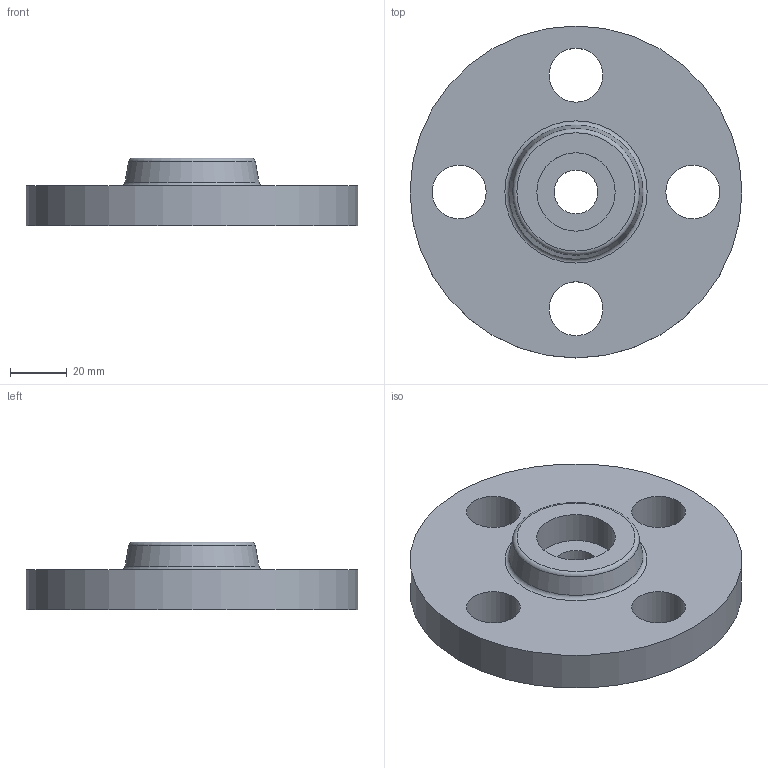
import cadquery as cq
import math

flange_diameter = 117.32
flange_thickness = 14.22
total_height = 23.88

bolt_circle_diameter = 82.55
bolt_hole_diameter = 19.05
bolt_hole_count = 4

hub_base_diameter = 47.75
hub_draft_degrees = 10.0
hub_root_fillet = 1.5
hub_top_fillet = 1.5

socket_diameter = 27.7
socket_depth = 11.2
bore_diameter = 15.5

hub_height = total_height - flange_thickness
hub_top_diameter = hub_base_diameter - 2 * hub_height * math.tan(math.radians(hub_draft_degrees))


def make_body():
    """Revolve the solid disc and its tapered hub, with no holes."""
    profile = (
        cq.Workplane("XZ")
        .lineTo(flange_diameter / 2, 0)
        .lineTo(flange_diameter / 2, flange_thickness)
        .lineTo(hub_base_diameter / 2, flange_thickness)
        .lineTo(hub_top_diameter / 2, total_height)
        .lineTo(0, total_height)
        .close()
    )
    return profile.revolve(360, (0, 0, 0), (0, 1, 0))


def round_hub(body):
    """Round the hub's top rim and blend its root into the flange."""
    smallest_circle = cq.selectors.RadiusNthSelector(0)
    body = body.faces(">Z").edges().fillet(hub_top_fillet)
    flange_top = body.faces("|Z").faces("<Z[1]")
    return flange_top.edges(smallest_circle).fillet(hub_root_fillet)


def cut_bore(body):
    """Cut the through bore and the wider socket above it."""
    top = body.faces(">Z").workplane(origin=(0, 0, 0))
    return top.cboreHole(bore_diameter, socket_diameter, socket_depth)


def cut_bolt_holes(body):
    """Drill the ring of through holes, the first on the +X axis."""
    holes = (
        cq.Workplane("XY")
        .polarArray(bolt_circle_diameter / 2, 0, 360, bolt_hole_count)
        .circle(bolt_hole_diameter / 2)
        .extrude(flange_thickness)
    )
    return body.cut(holes)


result = cut_bolt_holes(cut_bore(round_hub(make_body())))